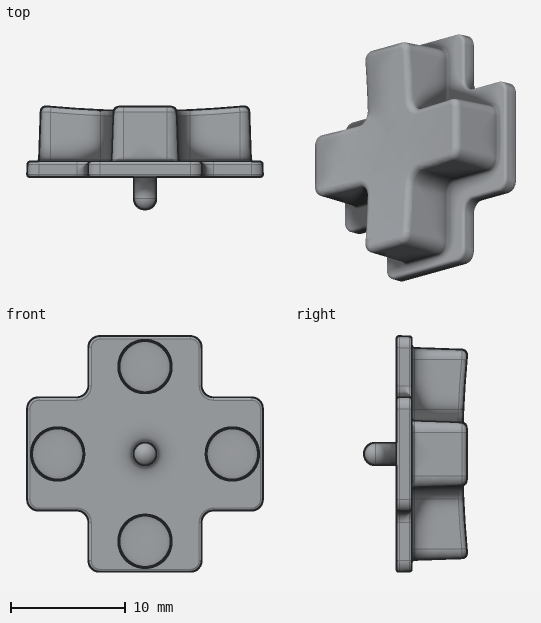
import cadquery as cq
import math

span = 20.6
draft_angle = 2.0

plate_arm_width = 9.9
plate_thickness = 1.35
plate_corner_radius = 1.0
plate_edge_radius = 0.25

block_span = 18.55
block_arm_width = 5.8
block_corner_radius = 1.0
block_top_edge_radius = 0.5
block_base_fillet_radius = 0.2

dish_radius = 90.65
dish_bottom_height = 4.39
uncut_block_height = 6.18

pin_diameter = 2.0
pin_length = 2.85
pin_radius = pin_diameter / 2

recess_mouth_radius = 2.35
recess_floor_radius = 2.22
recess_depth = 0.25
recess_offset = 7.62


def plane_facing_back(y):
    """Workplane at the given Y, with X to the right and its normal along +Y."""
    return cq.Workplane(cq.Plane(origin=(0, y, 0), xDir=(1, 0, 0), normal=(0, 1, 0)))


def cross_sketch(length, arm_width):
    """Sharp-cornered cross with four equal arms."""
    return cq.Sketch().rect(length, arm_width).rect(arm_width, length).clean()


def make_plate():
    """Cross plate with straight arm sides and arm ends that lean inward toward the back."""
    overlong_cross = cross_sketch(2 * span, plate_arm_width)
    plate = plane_facing_back(0).placeSketch(overlong_cross).extrude(plate_thickness)
    front_span = span + 2 * plate_edge_radius * math.tan(math.radians(draft_angle))
    envelope = plane_facing_back(0).rect(front_span, front_span).extrude(plate_thickness, taper=draft_angle)
    plate = plate.intersect(envelope)
    plate = plate.edges("not(<Y or >Y)").fillet(plate_corner_radius)
    return plate.faces("<Y or >Y").edges().fillet(plate_edge_radius)


def make_block():
    """Tapered cross block with a dished, rounded back face."""
    outline = cross_sketch(block_span, block_arm_width).vertices().fillet(block_corner_radius)
    block_base = plane_facing_back(plate_thickness).placeSketch(outline)
    block = block_base.extrude(uncut_block_height, taper=draft_angle)
    dish_center_y = plate_thickness + dish_bottom_height + dish_radius
    dish = cq.Workplane("XY").sphere(dish_radius).translate((0, dish_center_y, 0))
    return block.cut(dish).faces("%SPHERE").edges().fillet(block_top_edge_radius)


def fillet_block_base(body):
    """Round the inner corner where the block rises from the flat back of the plate."""
    plate_back = body.faces("+Y").val()
    base_edges = plate_back.innerWires()[0].Edges()
    return body.newObject(base_edges).fillet(block_base_fillet_radius)


def make_pin():
    """Round pin along -Y, revolved from its half profile."""
    shoulder = pin_radius - pin_length
    arc_middle = pin_radius * math.sqrt(0.5)
    return (
        cq.Workplane("XY")
        .lineTo(pin_radius, 0)
        .lineTo(pin_radius, shoulder)
        .threePointArc((arc_middle, shoulder - arc_middle), (0, -pin_length))
        .close()
        .revolve(360, (0, 0), (0, 1))
    )


def make_recess(x, z):
    """Cone frustum that narrows from the plate's front face into the plate."""
    return cq.Workplane(cq.Solid.makeCone(
        recess_mouth_radius, recess_floor_radius, recess_depth, pnt=(x, 0, z), dir=(0, 1, 0)
    ))


body = make_plate().union(make_block())
body = fillet_block_base(body).union(make_pin())

arm_directions = [(1, 0), (0, 1), (-1, 0), (0, -1)]
for x_direction, z_direction in arm_directions:
    body = body.cut(make_recess(recess_offset * x_direction, recess_offset * z_direction))

result = body